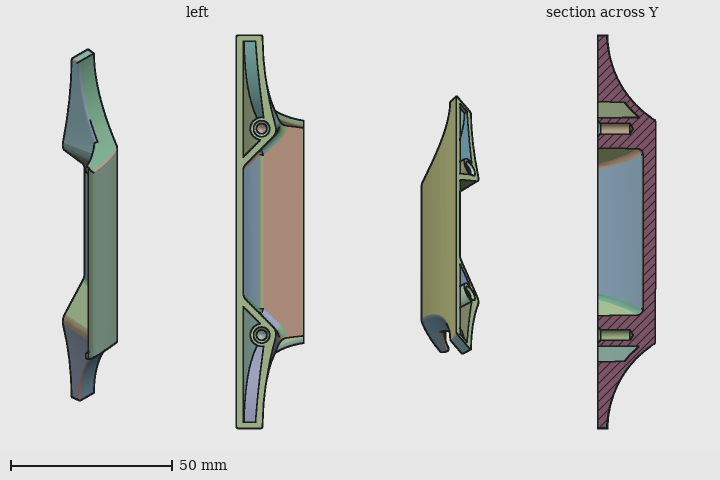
import cadquery as cq
import math


LENGTH = 122.0
GRIP_REACH = 20.07
GRIP_DROP = 21.0
HALF_LENGTH = LENGTH / 2
OVERLAP = 1.0

CORNER = (17.4, -6.1)
PLATE_OUTER_MID = (8.4, -2.5)
LIP_OUTER_MID = (19.14, -12.0)
CORNER_RADIUS = 2.5
PLATE_THICKNESS = 2.2
PLATE_INNER_MID = (7.0, -4.4)
INNER_CORNER = (14.1, -7.8)
LIP_INNER_MID = (16.4, -14.0)
LIP_INNER_TIP_X = 17.9
INNER_CORNER_RADIUS = 2.1
TIP_ROUND = 0.7

END_DEPTH = 3.1
SCOOP_RADIUS = 31.0
SCOOP_MID_ANGLE = 30.0
EDGE_ROUND = 0.7

RIM_WIDTH = 2.0
RIM_START = (10.6, -9.4)
RIM_BACK = (16.5, -8.0)
RIM_MID = (15.2, -16.0)
RIM_TIP_X = 17.1
RIM_ROUND = 0.6

PAD_END_X = 17.0
PAD_END_Y = -8.2
PAD_BASE_FOOT_Y = -1.0
PAD_TOP_FOOT_Y = -7.0
PAD_BASE_MID = (-9.5, 45.2)
PAD_BASE_CORNER = (-12.8, 30.8)
PAD_TOP_MID = (-9.7, 46.0)
PAD_TOP_CORNER = (-14.8, 32.5)
PAD_CORNER_RADIUS = 3.3
PAD_ROOT_RADIUS = 2.5

WALL = 2.2
END_WALL = 1.9
POCKET_FOOT_Z = 23.2
POCKET_BOSS_END = (-8.9, 33.0)
BOSS_RADIUS = 3.5
HOLE_Y = -7.9
HOLE_Z = 32.0
HOLE_RADIUS = 1.6
HOLE_DEPTH = 10.0
SINK_RADIUS = 2.5
DRILL_TIP_ANGLE = 118.0

BACK_EDGES = [
    (7.75, -2.4, 47.1),
    (17.2, -6.3, 35.0),
    (19.3, -14.0, 33.8),
    (1.55, -0.4, HALF_LENGTH),
    (GRIP_REACH, -GRIP_DROP, 0),
]
INNER_TIP_EDGE = (LIP_INNER_TIP_X, -GRIP_DROP, 0)
PAD_ROOT_EDGES = [(7.0, -4.5, 22.4), (14.1, -7.7, 25.2), (15.4, -10.7, 28.1), (16.4, -13.8, 31.8)]
FRONT_EDGES = [(6.2, -9.3, 49.3), (15.0, -15.9, 36.7), (1.55, PAD_END_Y, HALF_LENGTH)]
RIM_INNER_EDGES = [(15.4, -16.6, 33.9)]


def edge_near(point):
    """Selector for the single edge closest to the point."""
    return cq.selectors.NearestToPointSelector(point)


def along_z(section):
    """Extrude an XY section over the full length, centred on Z = 0."""
    return section.extrude(HALF_LENGTH, both=True)


def outer_block():
    """Solid filled from the mounting plane to the outer skin, at full length."""
    section = (
        cq.Workplane("XY")
        .moveTo(0, 0)
        .threePointArc(PLATE_OUTER_MID, CORNER)
        .threePointArc(LIP_OUTER_MID, (GRIP_REACH, -GRIP_DROP))
        .lineTo(0, -GRIP_DROP)
        .close()
    )
    block = along_z(section)
    corner_edge = edge_near((*CORNER, 0))
    return block.edges(corner_edge).fillet(CORNER_RADIUS)


def scoop_block(inset=0.0):
    """Block bounded by the two concave end scoops, offset inwards by inset."""
    radius = SCOOP_RADIUS + inset
    centre_x = END_DEPTH + SCOOP_RADIUS
    end_x = centre_x - radius
    tip_x = GRIP_REACH + OVERLAP
    tip_z = HALF_LENGTH - math.sqrt(radius**2 - (centre_x - tip_x) ** 2)
    mid_angle = math.radians(SCOOP_MID_ANGLE)
    mid_x = centre_x - radius * math.cos(mid_angle)
    mid_z = HALF_LENGTH - radius * math.sin(mid_angle)
    return (
        cq.Workplane("XZ")
        .moveTo(0, -HALF_LENGTH)
        .lineTo(end_x, -HALF_LENGTH)
        .threePointArc((mid_x, -mid_z), (tip_x, -tip_z))
        .lineTo(tip_x, tip_z)
        .threePointArc((mid_x, mid_z), (end_x, HALF_LENGTH))
        .lineTo(0, HALF_LENGTH)
        .close()
        .extrude(2 * GRIP_DROP, both=True)
    )


def grip_cavity():
    """Space behind the hook, under the plate and in front of the lip."""
    section = (
        cq.Workplane("XY")
        .moveTo(0, -PLATE_THICKNESS)
        .threePointArc(PLATE_INNER_MID, INNER_CORNER)
        .threePointArc(LIP_INNER_MID, (LIP_INNER_TIP_X, -GRIP_DROP))
        .lineTo(0, -GRIP_DROP)
        .close()
    )
    corner_edge = edge_near((*INNER_CORNER, 0))
    return along_z(section).edges(corner_edge).fillet(INNER_CORNER_RADIUS)


def rims():
    """Thicker bands following the scooped ends on the inside of the lip."""
    section = (
        cq.Workplane("XY")
        .moveTo(*RIM_START)
        .threePointArc(RIM_MID, (RIM_TIP_X, -GRIP_DROP))
        .lineTo(RIM_TIP_X + OVERLAP, -GRIP_DROP)
        .lineTo(*RIM_BACK)
        .close()
    )
    return along_z(section).cut(scoop_block(RIM_WIDTH))


def pad_outline(workplane, mid, corner, foot_y):
    """Triangular pad outline: curved long side, corner, and a 45 degree side."""
    foot_z = corner[1] - (foot_y - corner[0])
    return (
        workplane.moveTo(foot_y, HALF_LENGTH)
        .lineTo(PAD_END_Y, HALF_LENGTH)
        .threePointArc(mid, corner)
        .lineTo(foot_y, foot_z)
        .close()
    )


def pad():
    """Screw pad at the +Z end, widening from the mounting plane to the lip."""
    base = pad_outline(cq.Workplane("YZ"), PAD_BASE_MID, PAD_BASE_CORNER, PAD_BASE_FOOT_Y)
    top = base.workplane(offset=PAD_END_X)
    blank = pad_outline(top, PAD_TOP_MID, PAD_TOP_CORNER, PAD_TOP_FOOT_Y).loft(ruled=True)
    corner_point = (
        PAD_END_X / 2,
        (PAD_BASE_CORNER[0] + PAD_TOP_CORNER[0]) / 2,
        (PAD_BASE_CORNER[1] + PAD_TOP_CORNER[1]) / 2,
    )
    corner_edge = edge_near(corner_point)
    return blank.edges(corner_edge).fillet(PAD_CORNER_RADIUS)


def pocket():
    """Hollow of the +Z pad, leaving an even wall and a boss around the hole."""
    pocket_end_z = HALF_LENGTH - END_WALL
    foot_rise = -WALL - POCKET_BOSS_END[0]
    hollow = (
        cq.Workplane("YZ")
        .moveTo(-WALL, pocket_end_z)
        .lineTo(PAD_END_Y + WALL, pocket_end_z)
        .threePointArc((PAD_BASE_MID[0] + WALL, PAD_BASE_MID[1]), POCKET_BOSS_END)
        .lineTo(POCKET_BOSS_END[0], POCKET_FOOT_Z + foot_rise)
        .lineTo(-WALL, POCKET_FOOT_Z)
        .close()
        .extrude(GRIP_REACH)
    )
    floor_limit = outer_block().translate((0, -WALL, 0)).intersect(scoop_block(WALL))
    boss = cq.Workplane("YZ").center(HOLE_Y, HOLE_Z).circle(BOSS_RADIUS).extrude(GRIP_REACH)
    return hollow.intersect(floor_limit).cut(boss)


def screw_hole():
    """Blind countersunk screw hole with a conical bottom, at the +Z end."""
    tip_length = HOLE_RADIUS / math.tan(math.radians(DRILL_TIP_ANGLE / 2))
    sink_depth = SINK_RADIUS - HOLE_RADIUS
    return (
        cq.Workplane("XY")
        .moveTo(0, 0)
        .lineTo(0, SINK_RADIUS)
        .lineTo(sink_depth, HOLE_RADIUS)
        .lineTo(HOLE_DEPTH, HOLE_RADIUS)
        .lineTo(HOLE_DEPTH + tip_length, 0)
        .close()
        .revolve(360, (0, 0, 0), (1, 0, 0))
        .translate((0, HOLE_Y, HOLE_Z))
    )


def both_ends(feature):
    """The +Z feature together with its mirror image at the -Z end."""
    return feature.union(feature.mirror("XY"))


def round_edges(solid, radius, points):
    """Fillet the edges nearest to the points, and their mirror images at -Z."""
    edges = []
    for x, y, z in points:
        edges += solid.edges(edge_near((x, y, z))).vals()
        edges += solid.edges(edge_near((x, y, -z))).vals()
    return solid.newObject(edges).fillet(radius)


def rounded_envelope():
    """Outer skin with scooped ends, softened back edges and a rounded outer tip."""
    envelope = outer_block().intersect(scoop_block())
    return round_edges(envelope, EDGE_ROUND, BACK_EDGES)


def rounded_hook():
    """Plate and lip at full length, with the inner edge of the lip tip rounded."""
    hook = outer_block().cut(grip_cavity())
    return hook.edges(edge_near(INNER_TIP_EDGE)).fillet(TIP_ROUND)


body = rounded_hook().union(both_ends(pad()))
body = round_edges(body, PAD_ROOT_RADIUS, PAD_ROOT_EDGES)

body = body.union(rims()).intersect(rounded_envelope())
body = round_edges(body, EDGE_ROUND, FRONT_EDGES)
body = round_edges(body, RIM_ROUND, RIM_INNER_EDGES)

body = body.cut(both_ends(pocket()))
result = body.cut(both_ends(screw_hole()))